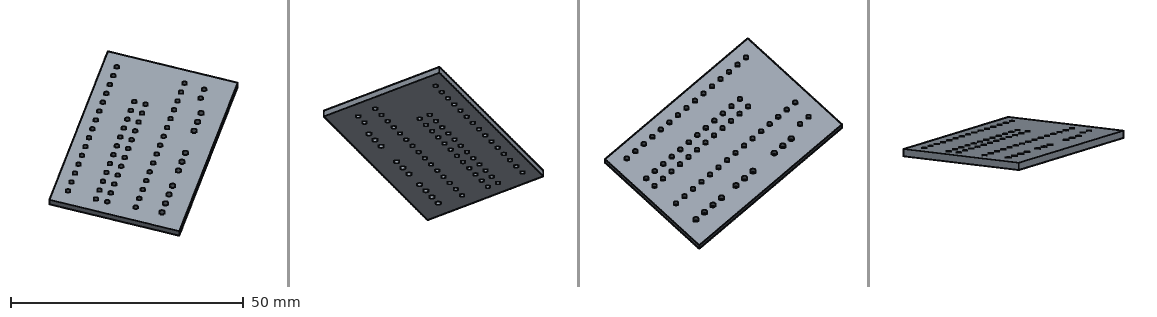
import cadquery as cq

width = 29.2
length = 42.55
thickness = 1.6

pin_diameter = 1.0
terminal_diameter = 1.2
long_count = 15
long_span = 35.55
pitch = long_span / (long_count - 1)
long_top = long_span / 2
long_left_x = -11.5
long_spacing_in_pitches = 6
long_right_x = long_left_x + long_spacing_in_pitches * pitch

double_count = 12
double_right_x = -2.55
double_left_x = double_right_x - pitch
double_top = 9.8

pair_count = 2
pair_x = 8.25
pair_top = 17.4

terminal_x = 9.55
upper_terminal_count = 3
upper_terminal_top = 11.0
middle_terminal_count = 3
middle_terminal_top = -0.4
lower_terminal_count = 4
lower_terminal_top = -9.8


def column(x, top, count):
    """Hole centres running down from the top hole, one pitch apart."""
    return [(x, top - i * pitch) for i in range(count)]


def drill(plate, centres, diameter):
    """Cut round through holes at the given centres."""
    return plate.faces(">Z").workplane(origin=(0, 0, 0)).pushPoints(centres).hole(diameter)


pin_centres = (
    column(long_left_x, long_top, long_count)
    + column(long_right_x, long_top, long_count)
    + column(double_left_x, double_top, double_count)
    + column(double_right_x, double_top, double_count)
    + column(pair_x, pair_top, pair_count)
)
terminal_centres = (
    column(terminal_x, upper_terminal_top, upper_terminal_count)
    + column(terminal_x, middle_terminal_top, middle_terminal_count)
    + column(terminal_x, lower_terminal_top, lower_terminal_count)
)

plate = cq.Workplane("XY").box(width, length, thickness, centered=(True, True, False))
plate = drill(plate, pin_centres, pin_diameter)
result = drill(plate, terminal_centres, terminal_diameter)